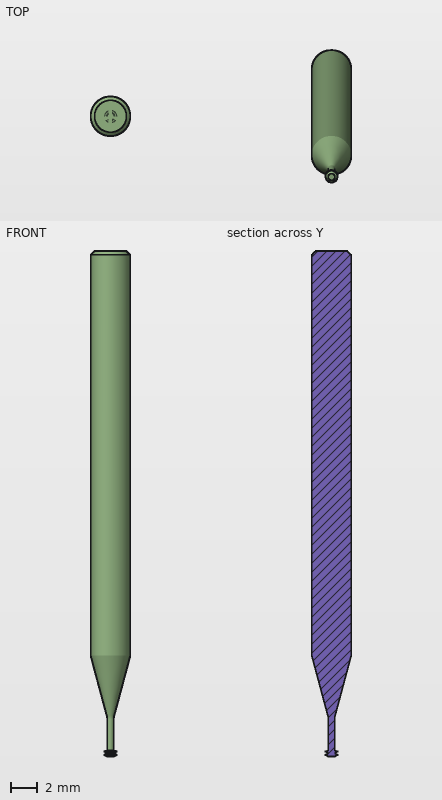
import cadquery as cq
import math

overall_length = 38.0
shank_diameter = 3.0

shank_bevel_height = 0.3
shank_end_diameter = 2.4

ridge_diameter = 0.91
groove_diameter = 0.62
tip_diameter = 0.51
thread_pitch = 0.25
flank_angle = 30.0
ridge_flat = thread_pitch / 8
head_top_z = 0.46

neck_diameter = 0.51
neck_top_z = 2.84
blend_radius = 0.75
taper_half_angle = 15.0


def flank_height(inner_diameter):
    """Axial length of a thread flank falling from the ridge to a diameter."""
    return (ridge_diameter - inner_diameter) / 2 * math.tan(math.radians(flank_angle))


def blend_point(angle):
    """(radius, z) on the neck blend arc where its tangent leans out by an angle."""
    turn = math.radians(angle)
    radius = neck_diameter / 2 + blend_radius * (1 - math.cos(turn))
    return radius, neck_top_z + blend_radius * math.sin(turn)


def trace_head(outline):
    """Outline from the centre of the tip, over both ridges, up to the neck."""
    lower_ridge_z = flank_height(tip_diameter)
    upper_ridge_z = lower_ridge_z + thread_pitch
    groove_bottom_z = lower_ridge_z + ridge_flat + flank_height(groove_diameter)
    groove_top_z = upper_ridge_z - flank_height(groove_diameter)
    return (
        outline.moveTo(0, 0)
        .lineTo(tip_diameter / 2, 0)
        .lineTo(ridge_diameter / 2, lower_ridge_z)
        .lineTo(ridge_diameter / 2, lower_ridge_z + ridge_flat)
        .lineTo(groove_diameter / 2, groove_bottom_z)
        .lineTo(groove_diameter / 2, groove_top_z)
        .lineTo(ridge_diameter / 2, upper_ridge_z)
        .lineTo(ridge_diameter / 2, upper_ridge_z + ridge_flat)
        .lineTo(neck_diameter / 2, head_top_z)
    )


def trace_neck_and_taper(outline):
    """Outline up the neck, round the blend and out along the taper."""
    blend_end_radius, blend_end_z = blend_point(taper_half_angle)
    taper_slope = math.tan(math.radians(taper_half_angle))
    taper_top_z = blend_end_z + (shank_diameter / 2 - blend_end_radius) / taper_slope
    return (
        outline.lineTo(neck_diameter / 2, neck_top_z)
        .threePointArc(blend_point(taper_half_angle / 2), (blend_end_radius, blend_end_z))
        .lineTo(shank_diameter / 2, taper_top_z)
    )


def trace_shank(outline):
    """Outline up the shank and over its bevelled end to the axis."""
    return (
        outline.lineTo(shank_diameter / 2, overall_length - shank_bevel_height)
        .lineTo(shank_end_diameter / 2, overall_length)
        .lineTo(0, overall_length)
    )


half_outline = trace_shank(trace_neck_and_taper(trace_head(cq.Workplane("XZ"))))
result = half_outline.close().revolve(360, (0, 0), (0, 1))